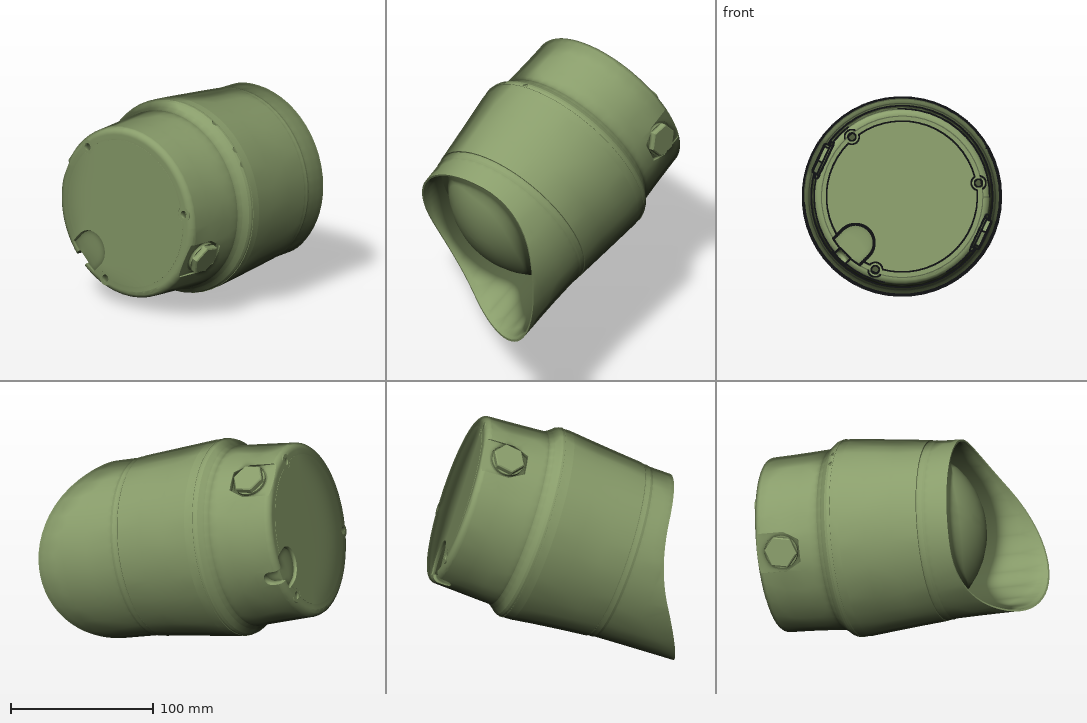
import cadquery as cq
import math


REAR_Y = -91.8
RIM_Y = -91.6
REAR_FILLET_START_Y = -87.0
WAIST_Y = -45.2
SHOULDER_FOOT_Y = -42.0
SHOULDER_TOP_Y = -38.4
BELT_END_Y = -36.5
JOINT_Y = -35.0
JOINT_THICKNESS = 0.7
BODY_CONE_END_Y = -28.5
BODY_FRONT_Y = 27.5
REVEAL = 0.5
HOOD_FLANGE_Y = 31.2
HOOD_TUBE_Y = 33.0
HOOD_LOW_Y = 49.0
HOOD_TIP_Y = 91.8

GASKET_RADIUS = 70.0
BELT_RADIUS = 69.6
SHOULDER_TOP_RADIUS = 68.9
BODY_FRONT_RADIUS = 63.9
SHOULDER_FOOT_RADIUS = 65.7
WAIST_RADIUS = 63.9
REAR_RADIUS = 61.7
RIM_RADIUS = 56.7
SPIGOT_RADIUS = 62.5
REVEAL_RADIUS = 62.8

HOOD_FLANGE_RADIUS = 63.4
HOOD_BASE_RADIUS = 62.8
HOOD_TIP_RADIUS = 61.5
HOOD_WALL = 1.3
HOOD_LOW_ANGLE = 25.0
HOOD_SLOPE = 33.5
HOOD_CURVE_RADIUS = 102.8

LENS_SPHERE_RADIUS = 63.4
LENS_TOP_Y = 59.5

PAD_RADIUS = 53.0
PAD_SEAT_Y = -89.6
SCREW_CIRCLE_RADIUS = 54.7
SCREW_ANGLES = (10, 130, 250)
SCREW_HOLE_RADIUS = 2.8
SCREW_HOLE_DEPTH = 11.0
BOSS_RADIUS = 5.1

ENTRY_ANGLE = 225
ENTRY_CENTER_RADIUS = 46.1
ENTRY_RADIUS = 13.5
ENTRY_WALL_DRAFT = 24.0
KNOCKOUT_WIDTH = 10.7
KNOCKOUT_TOP_Y = -78.8
KNOCKOUT_FLOOR_RADIUS = 56.2

PLUG_ANGLES = (155, 335)
PLUG_Y = -72.9
FLAT_DISTANCE = 59.1
FLAT_HALF_WIDTH = 14.0
FLAT_TAPER_START = 2.5
FLAT_FRONT = 13.4
FLAT_FRONT_HALF_WIDTH = 7.9
SPOTFACE_RADIUS = 12.9
SPOTFACE_DEPTH = 0.5
PLUG_SEAT_DISTANCE = FLAT_DISTANCE - SPOTFACE_DEPTH
PLUG_COLLAR_RADIUS = 11.4
PLUG_COLLAR_HEIGHT = 2.2
PLUG_HEAD_WIDTH = 20.2
PLUG_HEAD_HEIGHT = 4.2
PLUG_HEAD_CHAMFER = 0.7
PLUG_HEAD_TURN = -10.0

DRAIN_ANGLES = (30, 39.5, 60)
DRAIN_RADIUS = 2.5
DRAIN_DEPTH = 1.5

CUT_LENGTH = 2 * GASKET_RADIUS


def revolve_about_axis(outline):
    """Turn a closed (radius, y) outline around the Y axis."""
    return outline.close().revolve(360, (0, 0), (0, 1))


def rear_plane(y):
    """Plane square to the axis that looks out of the rear; its local axes are X and Z."""
    return cq.Workplane("XZ", origin=(0, y, 0))


def side_plane(angle, distance, y):
    """Plane facing outwards at an angle; local x runs along +Y."""
    cosine = math.cos(math.radians(angle))
    sine = math.sin(math.radians(angle))
    origin = (distance * cosine, y, distance * sine)
    return cq.Workplane(cq.Plane(origin=origin, xDir=(0, 1, 0), normal=(cosine, 0, sine)))


def polar(radius, angle):
    return radius * math.cos(math.radians(angle)), radius * math.sin(math.radians(angle))


screw_points = [polar(SCREW_CIRCLE_RADIUS, angle) for angle in SCREW_ANGLES]


def entry_pocket():
    """Round-ended tongue with drafted walls, as deep as the pad seat and stopped at the edge of the rim."""
    depth = PAD_SEAT_Y - REAR_Y
    tongue = (
        rear_plane(REAR_Y)
        .transformed(rotate=(0, 0, ENTRY_ANGLE))
        .moveTo(ENTRY_CENTER_RADIUS, ENTRY_RADIUS)
        .threePointArc((ENTRY_CENTER_RADIUS - ENTRY_RADIUS, 0), (ENTRY_CENTER_RADIUS, -ENTRY_RADIUS))
        .lineTo(GASKET_RADIUS, -ENTRY_RADIUS)
        .lineTo(GASKET_RADIUS, ENTRY_RADIUS)
        .close()
        .extrude(-depth, taper=ENTRY_WALL_DRAFT)
    )
    rim_disc = rear_plane(REAR_Y).circle(RIM_RADIUS).extrude(-depth)
    return tongue.intersect(rim_disc)


def scalloped_disc():
    """Round pad with scallops around the screw bosses."""
    thickness = PAD_SEAT_Y - REAR_Y
    disc = rear_plane(PAD_SEAT_Y).circle(PAD_RADIUS).extrude(thickness)
    scallops = rear_plane(PAD_SEAT_Y).pushPoints(screw_points).circle(BOSS_RADIUS).extrude(thickness)
    return disc.cut(scallops)


def plug_pocket(angle):
    """Flat that is open to the rear and narrows at its front, with a round spotface under the plug."""
    rear_x = REAR_Y - PLUG_Y
    flat = (
        side_plane(angle, FLAT_DISTANCE, PLUG_Y)
        .moveTo(rear_x, -FLAT_HALF_WIDTH)
        .lineTo(FLAT_TAPER_START, -FLAT_HALF_WIDTH)
        .lineTo(FLAT_FRONT, -FLAT_FRONT_HALF_WIDTH)
        .lineTo(FLAT_FRONT, FLAT_FRONT_HALF_WIDTH)
        .lineTo(FLAT_TAPER_START, FLAT_HALF_WIDTH)
        .lineTo(rear_x, FLAT_HALF_WIDTH)
        .close()
        .extrude(CUT_LENGTH)
    )
    spotface = side_plane(angle, PLUG_SEAT_DISTANCE, PLUG_Y).circle(SPOTFACE_RADIUS).extrude(SPOTFACE_DEPTH)
    return flat.union(spotface)


def drain_notch(angle):
    """Round cutter on the joint line; it leaves a half-round notch in the rear housing."""
    return side_plane(angle, BELT_RADIUS - DRAIN_DEPTH, JOINT_Y).circle(DRAIN_RADIUS).extrude(CUT_LENGTH)


def knockout_pocket():
    """Round-topped slot in the outer wall beside the cable entry."""
    radius = KNOCKOUT_WIDTH / 2
    center_y = KNOCKOUT_TOP_Y - radius
    length = center_y - REAR_Y
    face = side_plane(ENTRY_ANGLE, KNOCKOUT_FLOOR_RADIUS, center_y)
    slot = face.center(-length / 2, 0).rect(length, KNOCKOUT_WIDTH).extrude(CUT_LENGTH)
    top = face.circle(radius).extrude(CUT_LENGTH)
    return slot.union(top)


def make_rear_housing():
    fillet_arc_x = REAR_RADIUS - (REAR_RADIUS - RIM_RADIUS) * (1 - math.sqrt(0.5))
    fillet_arc_y = RIM_Y + (REAR_FILLET_START_Y - RIM_Y) * (1 - math.sqrt(0.5))
    spigot_y = JOINT_Y + JOINT_THICKNESS
    outline = (
        cq.Workplane("XY")
        .moveTo(0, RIM_Y)
        .lineTo(RIM_RADIUS, RIM_Y)
        .threePointArc((fillet_arc_x, fillet_arc_y), (REAR_RADIUS, REAR_FILLET_START_Y))
        .lineTo(WAIST_RADIUS, WAIST_Y)
        .lineTo(SHOULDER_FOOT_RADIUS, SHOULDER_FOOT_Y)
        .lineTo(SHOULDER_TOP_RADIUS, SHOULDER_TOP_Y)
        .lineTo(BELT_RADIUS, BELT_END_Y)
        .lineTo(BELT_RADIUS, JOINT_Y)
        .lineTo(SPIGOT_RADIUS, JOINT_Y)
        .lineTo(SPIGOT_RADIUS, spigot_y)
        .lineTo(0, spigot_y)
    )
    housing = revolve_about_axis(outline)

    boss_length = REAR_FILLET_START_Y - RIM_Y
    bosses = rear_plane(REAR_FILLET_START_Y).pushPoints(screw_points).circle(BOSS_RADIUS).extrude(boss_length)
    housing = housing.union(bosses)

    holes = rear_plane(RIM_Y).pushPoints(screw_points).circle(SCREW_HOLE_RADIUS).extrude(-SCREW_HOLE_DEPTH)
    housing = housing.cut(holes)

    housing = housing.cut(scalloped_disc())
    housing = housing.cut(entry_pocket())
    housing = housing.cut(knockout_pocket())
    for angle in PLUG_ANGLES:
        housing = housing.cut(plug_pocket(angle))
    for angle in DRAIN_ANGLES:
        housing = housing.cut(drain_notch(angle))
    return housing


def make_rear_pad():
    return scalloped_disc().cut(entry_pocket())


def make_joint_gasket():
    ring = rear_plane(JOINT_Y).circle(GASKET_RADIUS).circle(SPIGOT_RADIUS)
    return ring.extrude(-JOINT_THICKNESS)


def make_main_body():
    """Tapered middle body; a shallow reveal at its front sets it off from the hood."""
    rear_y = JOINT_Y + JOINT_THICKNESS
    outline = (
        cq.Workplane("XY")
        .moveTo(0, rear_y)
        .lineTo(BELT_RADIUS, rear_y)
        .lineTo(BELT_RADIUS, BODY_CONE_END_Y)
        .lineTo(BODY_FRONT_RADIUS, BODY_FRONT_Y - REVEAL)
        .lineTo(REVEAL_RADIUS, BODY_FRONT_Y - REVEAL)
        .lineTo(REVEAL_RADIUS, BODY_FRONT_Y)
        .lineTo(0, BODY_FRONT_Y)
    )
    return revolve_about_axis(outline)


def hood_opening():
    """Space in front of the hood's sloped edge: flat on the low side, then an arc, then a straight slope."""
    slope = math.radians(HOOD_SLOPE)
    corner_x = (HOOD_TIP_Y - HOOD_LOW_Y) / math.tan(slope) - HOOD_TIP_RADIUS
    tangent_length = HOOD_CURVE_RADIUS * math.tan(slope / 2)
    arc_end_x = corner_x + tangent_length
    arc_start_x = corner_x - tangent_length * math.cos(slope)
    arc_start_y = HOOD_LOW_Y + tangent_length * math.sin(slope)
    arc_mid_x = arc_end_x - HOOD_CURVE_RADIUS * math.sin(slope / 2)
    arc_mid_y = HOOD_LOW_Y + HOOD_CURVE_RADIUS * (1 - math.cos(slope / 2))
    side_x = CUT_LENGTH
    top_y = HOOD_TIP_Y + (side_x - HOOD_TIP_RADIUS) * math.tan(slope)

    low = math.radians(HOOD_LOW_ANGLE)
    plane = cq.Plane(
        origin=(0, 0, 0),
        xDir=(math.cos(low), 0, math.sin(low)),
        normal=(-math.sin(low), 0, math.cos(low)),
    )
    outline = (
        cq.Workplane(plane)
        .moveTo(side_x, HOOD_LOW_Y)
        .lineTo(arc_end_x, HOOD_LOW_Y)
        .threePointArc((arc_mid_x, arc_mid_y), (arc_start_x, arc_start_y))
        .lineTo(-side_x, top_y)
        .lineTo(side_x, top_y)
        .close()
    )
    return outline.extrude(CUT_LENGTH, both=True)


def make_hood():
    outline = (
        cq.Workplane("XY")
        .moveTo(HOOD_BASE_RADIUS - HOOD_WALL, BODY_FRONT_Y)
        .lineTo(HOOD_FLANGE_RADIUS, BODY_FRONT_Y)
        .lineTo(HOOD_FLANGE_RADIUS, HOOD_FLANGE_Y)
        .lineTo(HOOD_BASE_RADIUS, HOOD_TUBE_Y)
        .lineTo(HOOD_TIP_RADIUS, HOOD_TIP_Y)
        .lineTo(HOOD_TIP_RADIUS - HOOD_WALL, HOOD_TIP_Y)
    )
    return revolve_about_axis(outline).cut(hood_opening())


def make_lens():
    """Spherical cap standing on the front of the main body."""
    center_y = LENS_TOP_Y - LENS_SPHERE_RADIUS
    base_radius = math.sqrt(LENS_SPHERE_RADIUS**2 - (BODY_FRONT_Y - center_y) ** 2)
    arc_x, arc_rise = polar(LENS_SPHERE_RADIUS, 75)
    outline = (
        cq.Workplane("XY")
        .moveTo(0, BODY_FRONT_Y)
        .lineTo(base_radius, BODY_FRONT_Y)
        .threePointArc((arc_x, center_y + arc_rise), (0, LENS_TOP_Y))
    )
    return revolve_about_axis(outline)


def make_plug(angle):
    """Round collar with a chamfered hexagonal head."""
    collar = side_plane(angle, PLUG_SEAT_DISTANCE, PLUG_Y).circle(PLUG_COLLAR_RADIUS).extrude(PLUG_COLLAR_HEIGHT)
    corner_diameter = PLUG_HEAD_WIDTH / math.cos(math.radians(30))
    head = (
        side_plane(angle, PLUG_SEAT_DISTANCE + PLUG_COLLAR_HEIGHT, PLUG_Y)
        .transformed(rotate=(0, 0, PLUG_HEAD_TURN))
        .polygon(6, corner_diameter)
        .extrude(PLUG_HEAD_HEIGHT)
    )
    outward_x, outward_z = polar(1, angle)
    outward = cq.Vector(outward_x, 0, outward_z)
    head = head.faces(cq.DirectionMinMaxSelector(outward)).chamfer(PLUG_HEAD_CHAMFER)
    return collar.union(head)


rear_housing = make_rear_housing()
rear_pad = make_rear_pad()
joint_gasket = make_joint_gasket()
main_body = make_main_body()
hood = make_hood()
lens = make_lens()
plugs = [make_plug(angle) for angle in PLUG_ANGLES]

result = cq.Compound.makeCompound(
    [
        rear_housing.val(),
        rear_pad.val(),
        joint_gasket.val(),
        main_body.val(),
        hood.val(),
        lens.val(),
        *[plug.val() for plug in plugs],
    ]
)